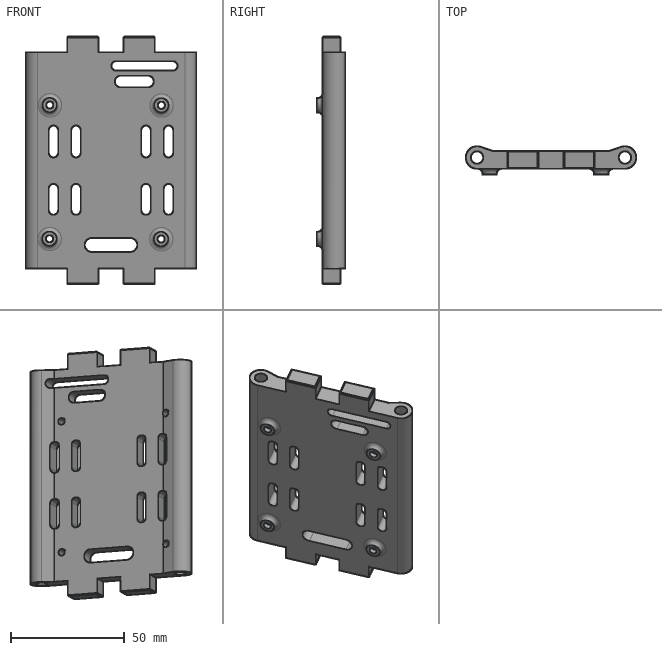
import cadquery as cq
import math

total_width = 75.0
knuckle_diameter = 10.0
knuckle_radius = knuckle_diameter / 2
knuckle_x = total_width / 2 - knuckle_radius
pin_bore_diameter = 5.3

total_height = 109.0
plate_height = 95.0
plate_thickness = 8.0
front_y = -knuckle_radius
back_y = front_y + plate_thickness
drill_start_y = knuckle_radius
ramp_foot_x = 25.6

tab_inner_x = 5.5
tab_outer_x = 19.3
tab_chamfer = 0.5

boss_height = 2.5
boss_diameter = 6.3
boss_fillet = 2.0
boss_hole_diameter = 3.3
plate_hole_diameter = 3.0
boss_centers = (
    (-27.0, -34.4),
    (22.0, -34.5),
    (-26.9, 24.3),
    (22.1, 24.2),
)

strap_slot_width = 4.0
strap_slot_xs = (-25.3, -15.4, 15.4, 25.3)
upper_strap_z = 8.3
upper_strap_length = 14.0
lower_strap_z = -17.1
lower_strap_length = 13.5
cable_slots = (
    (14.7, 41.5, 29.0, 4.0),
    (10.2, 34.7, 17.0, 5.0),
    (0.0, -37.2, 23.0, 6.0),
)


def make_plate():
    """Plate section with a round knuckle on each side, extruded along Z."""
    run = knuckle_x - ramp_foot_x
    slope_angle = math.asin(knuckle_radius / math.hypot(run, back_y)) - math.atan2(back_y, run)
    tangent_x = knuckle_x - knuckle_radius * math.sin(slope_angle)
    tangent_y = knuckle_radius * math.cos(slope_angle)
    outer_x = knuckle_x + knuckle_radius
    section = (
        cq.Workplane("XY", origin=(0, 0, -plate_height / 2))
        .moveTo(-knuckle_x, front_y)
        .lineTo(knuckle_x, front_y)
        .threePointArc((outer_x, 0), (tangent_x, tangent_y))
        .lineTo(ramp_foot_x, back_y)
        .lineTo(-ramp_foot_x, back_y)
        .lineTo(-tangent_x, tangent_y)
        .threePointArc((-outer_x, 0), (-knuckle_x, front_y))
        .close()
    )
    return section.extrude(plate_height)


def make_tab_bar(side):
    """Full-height bar whose two chamfered ends form the tabs on one side."""
    tab_width = tab_outer_x - tab_inner_x
    center_x = side * (tab_inner_x + tab_outer_x) / 2
    bar = cq.Workplane("XY").box(tab_width, plate_thickness, total_height)
    bar = bar.faces("<Z or >Z").edges().chamfer(tab_chamfer)
    return bar.translate((center_x, (front_y + back_y) / 2, 0))


def make_boss(x, z):
    """Round standoff with a concave fillet flaring onto the front face."""
    radius = boss_diameter / 2
    arc_offset = boss_fillet * (1 - math.sqrt(0.5))
    profile = (
        cq.Workplane("XY")
        .moveTo(0, back_y)
        .lineTo(0, front_y - boss_height)
        .lineTo(radius, front_y - boss_height)
        .lineTo(radius, front_y - boss_fillet)
        .threePointArc((radius + arc_offset, front_y - arc_offset), (radius + boss_fillet, front_y))
        .lineTo(radius, front_y)
        .lineTo(radius, back_y)
        .close()
    )
    return profile.revolve(360, (0, 0, 0), (0, 1, 0)).translate((x, 0, z))


def make_boss_hole(x, z):
    """Stepped cutter: a hole through the plate, widened inside the boss."""
    plate_hole = (
        cq.Workplane("XZ", origin=(x, drill_start_y, z))
        .circle(plate_hole_diameter / 2)
        .extrude(drill_start_y - front_y)
    )
    boss_hole = (
        cq.Workplane("XZ", origin=(x, front_y, z))
        .circle(boss_hole_diameter / 2)
        .extrude(boss_height)
    )
    return plate_hole.union(boss_hole)


def make_slot(x, z, length, width, angle=0):
    """Round-ended cutter passing through the plate along Y."""
    return (
        cq.Workplane("XZ", origin=(0, drill_start_y, 0))
        .center(x, z)
        .slot2D(length, width, angle)
        .extrude(drill_start_y - front_y)
    )


result = make_plate()
for side in (-1, 1):
    result = result.union(make_tab_bar(side))

for x, z in boss_centers:
    result = result.union(make_boss(x, z))
    result = result.cut(make_boss_hole(x, z))

pin_bores = (
    cq.Workplane("XY", origin=(0, 0, -plate_height / 2))
    .pushPoints([(-knuckle_x, 0), (knuckle_x, 0)])
    .circle(pin_bore_diameter / 2)
    .extrude(plate_height)
)
result = result.cut(pin_bores)

for x in strap_slot_xs:
    result = result.cut(make_slot(x, upper_strap_z, upper_strap_length, strap_slot_width, 90))
    result = result.cut(make_slot(x, lower_strap_z, lower_strap_length, strap_slot_width, 90))
for x, z, length, width in cable_slots:
    result = result.cut(make_slot(x, z, length, width))